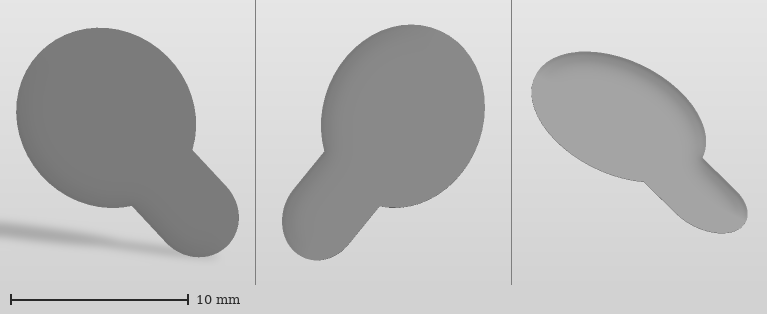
import cadquery as cq
import math

overall_size = 12.99
thickness = 0.03
disc_radius = 5.25
tab_radius = 2.5
tab_angle = -45.0

tab_offset = overall_size - disc_radius - tab_radius
tab_length = math.hypot(tab_offset, tab_offset)


def make_disc():
    return cq.Workplane("XZ").circle(disc_radius).extrude(thickness / 2, both=True)


def make_tab():
    """Slot-shaped tab running from the disc centre to its rounded end."""
    return (
        cq.Workplane("XZ")
        .center(tab_offset / 2, -tab_offset / 2)
        .slot2D(tab_length + 2 * tab_radius, 2 * tab_radius, tab_angle)
        .extrude(thickness / 2, both=True)
    )


result = make_disc().union(make_tab()).clean()